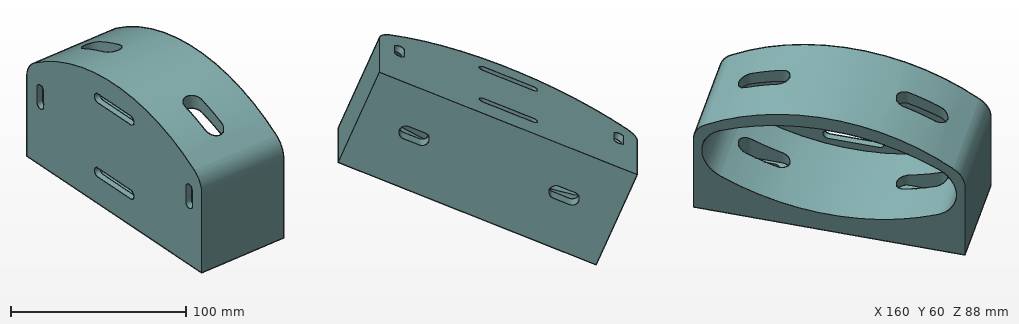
import cadquery as cq
import math

WIDTH = 160.0
DEPTH = 60.0
HEIGHT = 88.0
FRONT_Y = -DEPTH / 2

CROWN_RADIUS = 133.0
SHOULDER_RADIUS = 15.0

CENTER_Z = 46.0
FRONT_WALL = 4.0
SIDE_WALL = 5.0
CROWN_WALL = 9.0
CAVITY_END_RADIUS = 20.0

FRONT_SLOT_WIDTH = 6.0
LEVEL_SLOT_LENGTH = 36.0
UPRIGHT_SLOT_LENGTH = 16.0
LEVEL_SLOT_OFFSET_Z = 25.0
UPRIGHT_SLOT_OFFSET_X = 68.0
UPRIGHT_PAIR_CENTER_X = 0.5
UPRIGHT_ANGLE = 90.0

LEDGE_Z = 10.0
BOLT_SLOT_X = 46.5
BOLT_SLOT_Y = -2.0
BOLT_SLOT_LENGTH = 18.0
BOLT_SLOT_WIDTH = 8.0
ACCESS_SLOT_LENGTH = 30.0
ACCESS_SLOT_WIDTH = 12.0


def point_on_round(center_x, center_z, radius, angle):
    """X and Z of the point on a circle at an angle measured from the X axis."""
    return center_x + radius * math.cos(angle), center_z + radius * math.sin(angle)


def mirrored_x(point):
    """The point mirrored to the other side of the part."""
    return -point[0], point[1]


def domed_block():
    """Solid block with upright sides, rounded shoulders and a domed crown."""
    half_width = WIDTH / 2
    shoulder_x = half_width - SHOULDER_RADIUS
    rise = math.sqrt((CROWN_RADIUS - SHOULDER_RADIUS) ** 2 - shoulder_x**2)
    shoulder_z = HEIGHT - CROWN_RADIUS + rise
    angle = math.atan2(rise, shoulder_x)
    shoulder = (shoulder_x, shoulder_z, SHOULDER_RADIUS)
    tangent = point_on_round(*shoulder, angle)
    middle = point_on_round(*shoulder, angle / 2)
    return (
        cq.Workplane("XZ", origin=(0, FRONT_Y, 0))
        .moveTo(-half_width, 0)
        .lineTo(half_width, 0)
        .lineTo(half_width, shoulder_z)
        .threePointArc(middle, tangent)
        .threePointArc((0, HEIGHT), mirrored_x(tangent))
        .threePointArc(mirrored_x(middle), (-half_width, shoulder_z))
        .close()
        .extrude(-DEPTH)
    )


def lens_cavity():
    """Lens-shaped cavity, symmetric about CENTER_Z, from the front wall to the open back."""
    half_height = HEIGHT - CROWN_WALL - CENTER_Z
    half_width = WIDTH / 2 - SIDE_WALL
    end_center_x = half_width - CAVITY_END_RADIUS
    end_gap = half_height - CAVITY_END_RADIUS
    arc_radius = CAVITY_END_RADIUS + (end_center_x**2 + end_gap**2) / (2 * end_gap)
    angle = math.atan2(arc_radius - half_height, end_center_x)
    end_x, end_z = point_on_round(end_center_x, 0, CAVITY_END_RADIUS, angle)
    return (
        cq.Workplane("XZ", origin=(0, FRONT_Y + FRONT_WALL, CENTER_Z))
        .moveTo(-end_x, end_z)
        .threePointArc((0, half_height), (end_x, end_z))
        .threePointArc((half_width, 0), (end_x, -end_z))
        .threePointArc((0, -half_height), (-end_x, -end_z))
        .threePointArc((-half_width, 0), (-end_x, end_z))
        .close()
        .extrude(-(DEPTH - FRONT_WALL))
    )


def front_slots():
    """Cutters for two level and two upright slots through the front wall."""
    plane = cq.Workplane("XZ", origin=(0, FRONT_Y, CENTER_Z))
    level = (
        plane.pushPoints([(0, LEVEL_SLOT_OFFSET_Z), (0, -LEVEL_SLOT_OFFSET_Z)])
        .slot2D(LEVEL_SLOT_LENGTH, FRONT_SLOT_WIDTH)
        .extrude(-FRONT_WALL)
    )
    upright = (
        plane.center(UPRIGHT_PAIR_CENTER_X, 0)
        .pushPoints([(UPRIGHT_SLOT_OFFSET_X, 0), (-UPRIGHT_SLOT_OFFSET_X, 0)])
        .slot2D(UPRIGHT_SLOT_LENGTH, FRONT_SLOT_WIDTH, UPRIGHT_ANGLE)
        .extrude(-FRONT_WALL)
    )
    return level.union(upright)


def vertical_slots(length, width, bottom_z, top_z):
    """Cutters for a left and right pair of slots running along Z."""
    return (
        cq.Workplane("XY", origin=(0, BOLT_SLOT_Y, bottom_z))
        .pushPoints([(-BOLT_SLOT_X, 0), (BOLT_SLOT_X, 0)])
        .slot2D(length, width)
        .extrude(top_z - bottom_z)
    )


result = (
    domed_block()
    .cut(lens_cavity())
    .cut(front_slots())
    .cut(vertical_slots(BOLT_SLOT_LENGTH, BOLT_SLOT_WIDTH, 0, LEDGE_Z))
    .cut(vertical_slots(ACCESS_SLOT_LENGTH, ACCESS_SLOT_WIDTH, LEDGE_Z, HEIGHT))
)